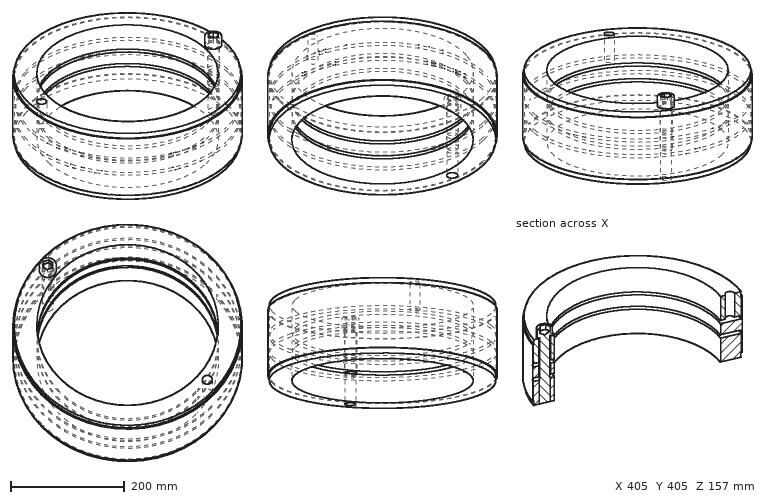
import cadquery as cq
import math

outer_diameter = 405.0
bore_diameter = 320.0
total_height = 157.0
head_height = 20.0
ring_height = total_height - head_height
mid_height = ring_height / 2

thrust_diameter = 400.0
end_step = 9.7

web_width = 24.0
web_gap = 6.0
web_bottom = mid_height - web_width / 2
web_top = mid_height + web_width / 2
thrust_height = web_bottom - web_gap

bolt_circle_radius = 178.0
shank_diameter = 20.0
clearance_diameter = 22.0
jacking_diameter = 17.5
head_diameter = 30.0
head_edge_radius = 2.5
hex_across_flats = 17.0
hex_depth = 10.0
hex_tip_depth = 5.0


def cylinder(diameter, bottom, height, y=0.0):
    """Vertical cylinder centred on X = 0, with its lower face at the given height."""
    return cq.Workplane("XY", origin=(0, y, bottom)).circle(diameter / 2).extrude(height)


def ring(outside, inside, bottom, height):
    """Plain ring about the Z axis."""
    return cylinder(outside, bottom, height).cut(cylinder(inside, bottom, height))


def make_outer_ring():
    """Sleeve with a central web that reaches in to the bore."""
    sleeve = ring(outer_diameter, thrust_diameter, end_step, ring_height - 2 * end_step)
    web = ring(outer_diameter, bore_diameter, web_bottom, web_width)
    clearance_hole = cylinder(clearance_diameter, web_bottom, web_width, bolt_circle_radius)
    return sleeve.union(web).cut(clearance_hole)


def make_thrust_ring(bottom):
    """Thrust ring without its holes."""
    return ring(thrust_diameter, bore_diameter, bottom, thrust_height)


def make_front_thrust_ring():
    """Upper ring with the screw clearance hole and the jacking hole."""
    bottom = web_top + web_gap
    clearance_hole = cylinder(clearance_diameter, bottom, thrust_height, bolt_circle_radius)
    jacking_hole = cylinder(jacking_diameter, bottom, thrust_height, -bolt_circle_radius)
    return make_thrust_ring(bottom).cut(clearance_hole).cut(jacking_hole)


def make_rear_thrust_ring():
    """Lower ring with the hole that holds the screw shank."""
    screw_hole = cylinder(shank_diameter, 0, thrust_height, bolt_circle_radius)
    return make_thrust_ring(0).cut(screw_hole)


def make_hex_socket():
    """Hexagonal socket with corners toward +Y and -Y and a conical floor."""
    floor = total_height - hex_depth
    across_corners = hex_across_flats / math.cos(math.pi / 6)
    prism = (
        cq.Workplane("XY", origin=(0, bolt_circle_radius, floor))
        .transformed(rotate=(0, 0, 90))
        .polygon(6, across_corners)
        .extrude(hex_depth)
    )
    tip = cq.Workplane(
        cq.Solid.makeCone(
            hex_across_flats / 2,
            0,
            hex_tip_depth,
            pnt=cq.Vector(0, bolt_circle_radius, floor),
            dir=cq.Vector(0, 0, -1),
        )
    )
    return prism.union(tip)


def make_screw():
    """Socket head screw through both thrust rings and the web."""
    head = cylinder(head_diameter, ring_height, head_height, bolt_circle_radius)
    head = head.faces(">Z").edges().fillet(head_edge_radius)
    shank = cylinder(shank_diameter, 0, ring_height, bolt_circle_radius)
    return head.union(shank).cut(make_hex_socket())


outer_ring = make_outer_ring()
front_thrust_ring = make_front_thrust_ring()
rear_thrust_ring = make_rear_thrust_ring()
screw = make_screw()

result = cq.Compound.makeCompound(
    [outer_ring.val(), front_thrust_ring.val(), rear_thrust_ring.val(), screw.val()]
)